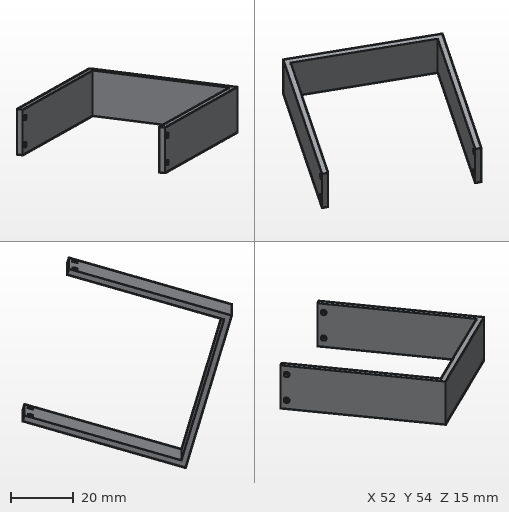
import cadquery as cq

width = 52.0
depth = 54.0
height = 15.0
wall = 2.0

hole_diameter = 1.7
hole_end_distance = 2.0
hole_edge_distance = 3.0


def make_channel():
    """U-shaped strip, closed at +Y and open at -Y, centred on the origin."""
    block = cq.Workplane("XY").box(width, depth, height)
    opening = cq.Workplane("XY").box(width - 2 * wall, depth, height).translate((0, -wall, 0))
    return block.cut(opening)


def make_hole_cutters():
    """Pair of cylinders along X that pass through both arms."""
    hole_y = -depth / 2 + hole_end_distance
    hole_z = height / 2 - hole_edge_distance
    return (
        cq.Workplane("YZ")
        .pushPoints([(hole_y, -hole_z), (hole_y, hole_z)])
        .circle(hole_diameter / 2)
        .extrude(width, both=True)
    )


result = make_channel().cut(make_hole_cutters())